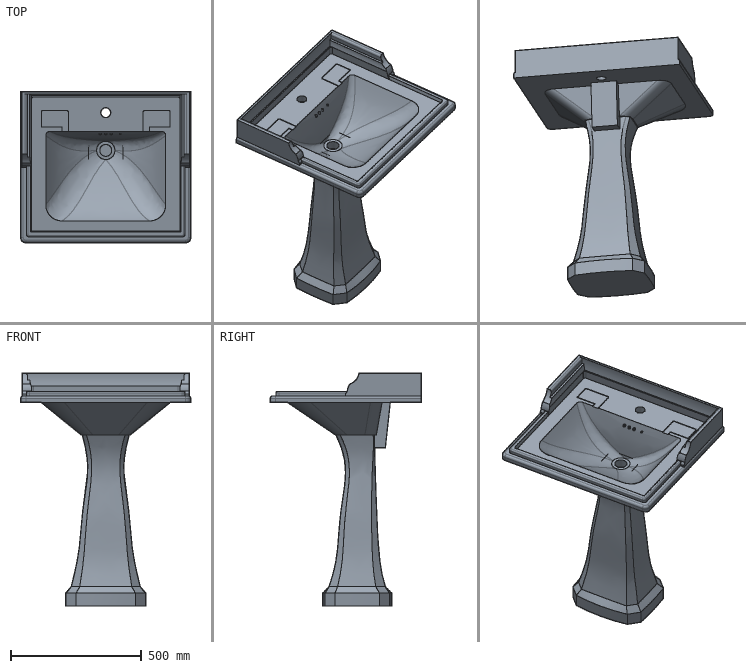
import cadquery as cq
import math

OVERLAP = 1.0

table_width = 654.13
table_depth = 581.0
total_height = 895.0
half_width = table_width / 2

underside_z = 783.0
ledge_z = 808.0
rim_z = 825.0
deck_z = 812.0

ledge_corner = 20.0
ledge_round = 10.0
rim_inset = 22.0
rim_corner = 12.0
rim_round = 6.0

deck_half_width = 285.0
deck_back = 20.0
deck_front = 535.5
deck_wall_run = 4.5

upstand_inset = 6.0
upstand_root_z = 800.0
upstand_half_width = half_width - upstand_inset
upstand_length = 292.0
side_cap = 11.0
side_upper = 20.0
side_step = 29.0
side_lower = 35.0
side_cove_sag = 1.0
cap_round = side_upper - side_cap
scroll_top_y = 240.0
scroll_hollow = (-253.0, 868.0)
scroll_middle = (-274.0, 854.0)
scroll_bulge = (-281.5, 841.0)
scroll_lower = (-285.0, 826.0)
scroll_toe_z = 815.0

step_z = 869.0
cove_z = 845.0
back_top = 9.0
back_cove_sag = 2.0
back_lower = 15.0
corner_round = 8.0

opening_half_width = 230.5
opening_back = 153.0
opening_front = 497.0
opening_front_corner = 62.0
opening_back_corner = 16.0

bowl_stations = [
    (690.0, 118.0, 185.0, 345.0, 60.0, 40.0),
    (760.0, 192.0, 171.0, 452.0, 70.0, 25.0),
]

bowl_foot_z = 657.0
bowl_top_half_width = 249.0
bowl_top_back = 151.0
bowl_top_front = 515.0
bowl_top_corner = 90.0
bowl_top_back_corner = 45.0
bowl_foot_half_width = 93.0
bowl_foot_back = 173.0
bowl_foot_front = 329.0
bowl_foot_corner = 44.0

plug_half_width = 66.0
plug_back = 186.0
plug_front = 296.0
plug_corner = 30.0
plug_depth = 45.0

drain_y = 226.0
drain_floor_z = 647.0
drain_floor_radius = 35.0
drain_floor_flat = 0.5
drain_hole_radius = 23.0

tap_y = 81.0
tap_hole_diameter = 37.0

overflow_z = 782.0
overflow_pitch = 21.5
overflow_diameter = 10.0
small_overflow_x = 55.5
small_overflow_diameter = 7.0
overflow_wall_y = 165.0
overflow_depth = 6.0
overflow_mouth_y = 200.0

tray_depth = 2.0
tray_inner_x = 144.0
tray_outer_x = 247.5
tray_back = 73.0
tray_front = 137.0
tray_corner = 5.0
channel_width = 25.0
channel_reach = 10.0

block_half_width = 50.0
block_bottom_z = 608.0
block_top_back = 119.0
block_bottom_back = 138.0
block_front = 183.0

plinth_z = 50.0
plinth_half_width = 155.0
plinth_back = 113.5
plinth_front = 379.0
plinth_chamfer = 38.0
plinth_end_bow = 9.5
plinth_side_bow = 3.0
shaft_bow = 1.0
shaft_stations = [
    (75.0, 133.0, 138.0, 355.0, 32.0, 36.0),
    (120.0, 122.0, 150.0, 341.0, 28.0, 31.0),
    (250.0, 100.5, 166.0, 320.0, 20.0, 23.0),
    (400.0, 84.0, 172.5, 304.5, 17.0, 18.0),
    (570.0, 72.0, 178.0, 297.0, 15.0, 7.0),
    (620.0, 81.0, 179.0, 312.0, 16.0, 4.0),
    (bowl_foot_z, 90.0, 180.0, 328.0, 15.0, 4.0),
]


def plan_outline(z, half_x, back, front, front_corner, back_corner):
    """Rectangle in plan with rounded corners, at height z."""

    def corner(work, cx, cy, radius, start_deg):
        def on_arc(degrees):
            angle = math.radians(degrees)
            return (cx + radius * math.cos(angle), cy + radius * math.sin(angle))
        return work.threePointArc(on_arc(start_deg + 45), on_arc(start_deg + 90))

    work = cq.Workplane("XY").workplane(offset=z).moveTo(-half_x + front_corner, -front)
    work = work.lineTo(half_x - front_corner, -front)
    work = corner(work, half_x - front_corner, -front + front_corner, front_corner, -90)
    work = work.lineTo(half_x, -back - back_corner)
    work = corner(work, half_x - back_corner, -back - back_corner, back_corner, 0)
    work = work.lineTo(-half_x + back_corner, -back)
    work = corner(work, -half_x + back_corner, -back - back_corner, back_corner, 90)
    work = work.lineTo(-half_x, -front + front_corner)
    work = corner(work, -half_x + front_corner, -front + front_corner, front_corner, 180)
    return work.close().val()


def loft(sections, ruled):
    return cq.Workplane(obj=cq.Solid.makeLoft(sections, ruled))


def table_layer(top_z, inset, corner, top_round):
    """Slab against the wall with its front corners and its front and side top edges rounded."""
    length = table_depth - inset
    return (
        cq.Workplane("XY", origin=(0, -length / 2, underside_z))
        .rect(2 * (half_width - inset), length)
        .extrude(top_z - underside_z)
        .edges("|Z and <Y")
        .fillet(corner)
        .faces(">Z")
        .edges("not(>Y)")
        .fillet(top_round)
    )


def make_table():
    ledge = table_layer(ledge_z, 0, ledge_corner, ledge_round)
    rim = table_layer(rim_z, rim_inset, rim_corner, rim_round)
    wall_slope = math.degrees(math.atan(deck_wall_run / (rim_z - deck_z)))
    deck_pocket = (
        cq.Workplane("XY")
        .workplane(offset=deck_z)
        .center(0, -(deck_back + deck_front) / 2)
        .rect(2 * deck_half_width, deck_front - deck_back)
        .extrude(rim_z - deck_z, taper=-wall_slope)
    )
    return ledge.union(rim).cut(deck_pocket)


def make_corner_infill():
    """Concave quarter-round in the upright inside corner of the deck on the +X side."""
    wall_x = deck_half_width
    wall_y = -deck_back
    bend = corner_round * (1 - math.sqrt(0.5))
    return (
        cq.Workplane("XY")
        .workplane(offset=deck_z - OVERLAP)
        .moveTo(wall_x - corner_round, wall_y)
        .threePointArc((wall_x - bend, wall_y - bend), (wall_x, wall_y - corner_round))
        .lineTo(wall_x + OVERLAP, wall_y - corner_round)
        .lineTo(wall_x + OVERLAP, wall_y + OVERLAP)
        .lineTo(wall_x - corner_round, wall_y + OVERLAP)
        .close()
        .extrude(cove_z - deck_z + OVERLAP)
    )


def make_upstand():
    outer = upstand_half_width
    bottom_z = upstand_root_z
    bend = math.sqrt(0.5) * cap_round
    side_wall = (
        cq.Workplane("XZ")
        .moveTo(outer, bottom_z)
        .lineTo(outer, total_height)
        .lineTo(outer - side_cap, total_height)
        .threePointArc(
            (outer - side_cap - bend, total_height - cap_round + bend),
            (outer - side_upper, total_height - cap_round),
        )
        .lineTo(outer - side_upper, step_z)
        .lineTo(outer - side_step, step_z)
        .threePointArc(
            (outer - (side_step + side_lower) / 2 + side_cove_sag, (step_z + cove_z) / 2),
            (outer - side_lower, cove_z),
        )
        .lineTo(deck_half_width, deck_z)
        .lineTo(deck_half_width, bottom_z)
        .close()
        .extrude(upstand_length)
    )
    side_walls = side_wall.union(side_wall.mirror("YZ"))
    scroll = (
        cq.Workplane("YZ")
        .moveTo(0, bottom_z)
        .lineTo(0, total_height)
        .lineTo(-scroll_top_y, total_height)
        .threePointArc(scroll_hollow, scroll_middle)
        .threePointArc(scroll_bulge, scroll_lower)
        .lineTo(-upstand_length, scroll_toe_z)
        .lineTo(-upstand_length, bottom_z)
        .close()
        .extrude(outer, both=True)
    )
    back_wall = (
        cq.Workplane("YZ")
        .moveTo(0, bottom_z)
        .lineTo(0, total_height)
        .lineTo(-back_top, total_height)
        .threePointArc(
            (-(back_top + back_lower) / 2 + back_cove_sag, (total_height + cove_z) / 2),
            (-back_lower, cove_z),
        )
        .lineTo(-deck_back, cove_z)
        .lineTo(-deck_back, bottom_z)
        .close()
        .extrude(outer, both=True)
    )
    upstand = side_walls.intersect(scroll).union(back_wall)
    infill = make_corner_infill()
    return upstand.union(infill).union(infill.mirror("YZ"))


def make_bowl_shell():
    outer = loft(
        [
            plan_outline(bowl_foot_z, bowl_foot_half_width, bowl_foot_back, bowl_foot_front,
                         bowl_foot_corner, bowl_foot_corner),
            plan_outline(underside_z, bowl_top_half_width, bowl_top_back, bowl_top_front,
                         bowl_top_corner, bowl_top_back_corner),
        ],
        True,
    )
    return outer.union(make_plug())


def make_plug():
    outline = plan_outline(bowl_foot_z, plug_half_width, plug_back, plug_front, plug_corner, plug_corner)
    return cq.Workplane(obj=cq.Solid.extrudeLinear(outline, [], cq.Vector(0, 0, -plug_depth)))


def make_bowl_cavity():
    r = drain_floor_radius
    floor_corner = r - drain_floor_flat
    floor = plan_outline(drain_floor_z, r, drain_y - r, drain_y + r, floor_corner, floor_corner)
    opening = plan_outline(deck_z, opening_half_width, opening_back, opening_front,
                           opening_front_corner, opening_back_corner)
    walls = [plan_outline(*station) for station in bowl_stations]
    return loft([floor, *walls, opening], False)


def make_drain_hole():
    return (
        cq.Workplane("XY")
        .workplane(offset=bowl_foot_z - plug_depth - OVERLAP)
        .center(0, -drain_y)
        .circle(drain_hole_radius)
        .extrude(plug_depth)
    )


def make_tap_hole():
    return (
        cq.Workplane("XY")
        .workplane(offset=underside_z - OVERLAP)
        .center(0, -tap_y)
        .circle(tap_hole_diameter / 2)
        .extrude(deck_z - underside_z + 2 * OVERLAP)
    )


def make_overflow_hole(x, diameter):
    """Blind hole drilled towards the wall through the back of the bowl."""
    bottom_y = overflow_wall_y - overflow_depth
    return (
        cq.Workplane("XZ", origin=(x, -bottom_y, overflow_z))
        .circle(diameter / 2)
        .extrude(overflow_mouth_y - bottom_y)
    )


def make_soap_tray():
    """Shallow tray on the +X side with a channel into the bowl."""
    floor_z = deck_z - tray_depth
    width = tray_outer_x - tray_inner_x
    tray = (
        cq.Workplane("XY", origin=(tray_inner_x, -tray_front, floor_z))
        .rect(width, tray_front - tray_back, centered=False)
        .extrude(tray_depth + OVERLAP)
        .edges("|Z and >Y")
        .fillet(tray_corner)
    )
    channel_end = opening_back + channel_reach
    channel = (
        cq.Workplane("XY", origin=(tray_inner_x, -channel_end, floor_z))
        .rect(channel_width, channel_end - tray_front + OVERLAP, centered=False)
        .extrude(tray_depth + OVERLAP)
    )
    return tray.union(channel)


def make_basin():
    basin = make_table().union(make_upstand()).union(make_bowl_shell()).cut(make_bowl_cavity())
    basin = basin.cut(make_drain_hole()).cut(make_tap_hole())
    for x in (-overflow_pitch, 0, overflow_pitch):
        basin = basin.cut(make_overflow_hole(x, overflow_diameter))
    basin = basin.cut(make_overflow_hole(small_overflow_x, small_overflow_diameter))
    tray = make_soap_tray()
    return basin.cut(tray).cut(tray.mirror("YZ"))


def octagon(z, half_x, back, front, chamfer, back_chamfer, end_bow, flank_bow):
    """Chamfered rectangle with bowed faces, at height z; the sizes reach to the crests of the bows."""
    side_x = half_x - flank_bow
    front_y = -front + end_bow
    back_y = -back - end_bow
    flat_x = side_x - chamfer
    side_front_y = front_y + chamfer
    side_back_y = back_y - back_chamfer
    mid_y = (side_front_y + side_back_y) / 2
    return (
        cq.Workplane("XY")
        .workplane(offset=z)
        .moveTo(-flat_x, front_y)
        .threePointArc((0, -front), (flat_x, front_y))
        .lineTo(side_x, side_front_y)
        .threePointArc((half_x, mid_y), (side_x, side_back_y))
        .lineTo(flat_x, back_y)
        .threePointArc((0, -back), (-flat_x, back_y))
        .lineTo(-side_x, side_back_y)
        .threePointArc((-half_x, mid_y), (-side_x, side_front_y))
        .close()
        .val()
    )


def make_pedestal():
    def plinth_outline(z):
        return octagon(z, plinth_half_width, plinth_back, plinth_front, plinth_chamfer, plinth_chamfer,
                       plinth_end_bow, plinth_side_bow)

    shaft = [octagon(*station, shaft_bow, shaft_bow) for station in shaft_stations]
    plinth = loft([plinth_outline(0), plinth_outline(plinth_z)], True)
    shoulder = loft([plinth_outline(plinth_z), shaft[0]], True)
    return plinth.union(shoulder).union(loft(shaft, False)).cut(make_plug())


def make_support_block(pedestal):
    """Block under the table that fills the space behind the bowl and the pedestal head."""
    return (
        cq.Workplane("YZ")
        .moveTo(-block_front, underside_z)
        .lineTo(-block_top_back, underside_z)
        .lineTo(-block_bottom_back, block_bottom_z)
        .lineTo(-block_front, block_bottom_z)
        .close()
        .extrude(block_half_width, both=True)
        .cut(make_bowl_shell())
        .cut(pedestal)
    )


basin = make_basin()
pedestal = make_pedestal()
support_block = make_support_block(pedestal)
result = cq.Compound.makeCompound([basin.val(), pedestal.val(), support_block.val()])